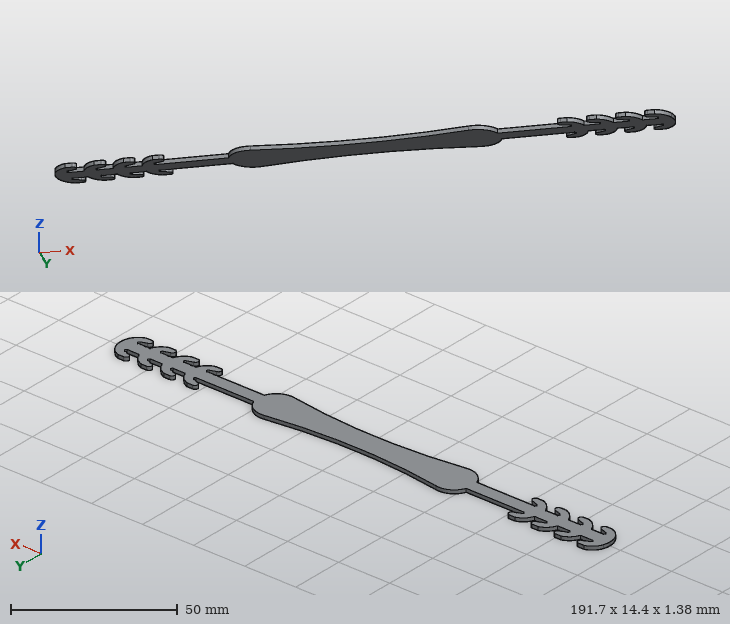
import cadquery as cq
import math

length = 191.7
thickness = 1.38
half_length = length / 2
strap_width = 5.0
strap_half_width = strap_width / 2

paddle_width = 14.4
lobe_radius = paddle_width / 2
lobe_offset = 34.9
waist_half_width = 4.5

hooks_per_end = 4
hook_pitch = 9.0
hook_span = 13.2
hook_half_span = hook_span / 2
nose_middle = (0.1, 1.25)
back_start = 0.4
back_middle = (2.1, 5.2)
back_end = 4.6
tip_start = 6.7
tip_reach = 7.9
tip_inner = (6.9, 4.5)
notch_start = (4.8, 3.6)
notch_depth = 4.2
notch_end = 4.6


def make_paddle():
    flank_radius = (
        (lobe_offset**2 + waist_half_width**2 - lobe_radius**2)
        / (2 * (lobe_radius - waist_half_width))
    )
    flank_center_y = waist_half_width + flank_radius
    lean = math.atan2(lobe_offset, flank_center_y)
    tangent_x = flank_radius * math.sin(lean)
    tangent_y = flank_center_y - flank_radius * math.cos(lean)
    lobe_end = lobe_offset + lobe_radius
    return (
        cq.Workplane("XY")
        .moveTo(-tangent_x, tangent_y)
        .threePointArc((0, waist_half_width), (tangent_x, tangent_y))
        .threePointArc((lobe_end, 0), (tangent_x, -tangent_y))
        .threePointArc((0, -waist_half_width), (-tangent_x, -tangent_y))
        .threePointArc((-lobe_end, 0), (-tangent_x, tangent_y))
        .close()
        .extrude(thickness)
    )


def make_barb(side):
    tip_middle_y = (hook_half_span + tip_inner[1]) / 2
    notch_middle_y = (notch_start[1] + strap_half_width) / 2

    def at(x, y):
        return (x, side * y)

    return (
        cq.Workplane("XY")
        .moveTo(0, 0)
        .threePointArc(at(*nose_middle), at(back_start, strap_half_width))
        .threePointArc(at(*back_middle), at(back_end, hook_half_span))
        .lineTo(*at(tip_start, hook_half_span))
        .threePointArc(at(tip_reach, tip_middle_y), at(*tip_inner))
        .lineTo(*at(*notch_start))
        .threePointArc(at(notch_depth, notch_middle_y), at(notch_end, strap_half_width))
        .lineTo(notch_end, 0)
        .close()
        .extrude(thickness)
    )


def make_strap():
    strap_length = length - 2 * notch_depth
    return (
        cq.Workplane("XY")
        .box(strap_length, strap_width, thickness, centered=(True, True, False))
    )


hook_pair = make_barb(1).union(make_barb(-1))
result = make_strap().union(make_paddle())
for index in range(hooks_per_end):
    left_hooks = hook_pair.translate((index * hook_pitch - half_length, 0, 0))
    result = result.union(left_hooks).union(left_hooks.mirror("YZ"))